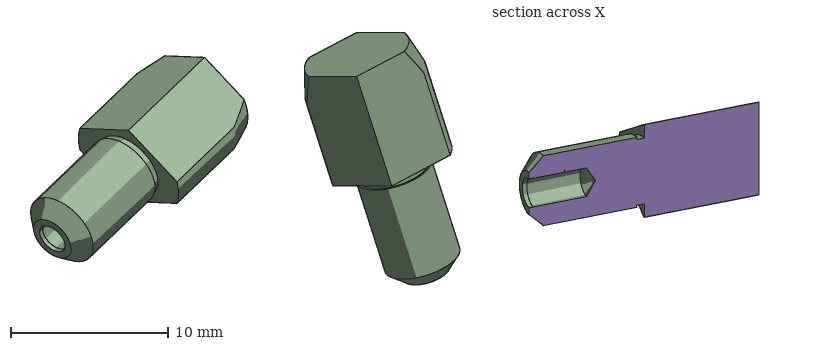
import cadquery as cq
import math

head_length = 8.0
head_height = 6.6
head_diameter = 8.0
side_land_height = 2.0
head_taper_length = 2.0
head_taper_angle = 15.0

shank_length = 8.0
shank_diameter = 5.0
neck_length = 0.5
neck_diameter = 4.7
tip_chamfer = 1.0

bore_diameter = 2.0
bore_depth = 4.0
bore_point_angle = 118.0
mouth_diameter = 2.02
mouth_depth = 0.3


def revolved(profile):
    """Revolve a closed (radius, y) profile about the Y axis."""
    return cq.Workplane("XY").polyline(profile).close().revolve(360, (0, 0, 0), (0, 1, 0))


def make_head():
    """Diamond prism from y = 0 to y = head_length, trimmed by a turned envelope."""
    half_height = head_height / 2
    radius = head_diameter / 2
    half_land = side_land_height / 2
    land_corner_x = math.sqrt(radius**2 - half_land**2)
    half_width = land_corner_x * half_height / (half_height - half_land)
    diamond = (
        cq.Workplane("XZ")
        .polyline([(0, half_height), (half_width, 0), (0, -half_height), (-half_width, 0)])
        .close()
        .extrude(-head_length)
    )
    end_radius = radius - head_taper_length * math.tan(math.radians(head_taper_angle))
    envelope = revolved([
        (0, 0),
        (radius, 0),
        (radius, head_length - head_taper_length),
        (end_radius, head_length),
        (0, head_length),
    ])
    return diamond.intersect(envelope)


def make_shank():
    """Round shank along -Y with a relieved neck at the head and a chamfered tip."""
    radius = shank_diameter / 2
    neck_radius = neck_diameter / 2
    return revolved([
        (0, 0),
        (neck_radius, 0),
        (neck_radius, -neck_length),
        (radius, -neck_length),
        (radius, tip_chamfer - shank_length),
        (radius - tip_chamfer, -shank_length),
        (0, -shank_length),
    ])


def make_bore():
    """Drilled hole with a conical bottom and a relieved mouth, entering at the shank tip."""
    radius = bore_diameter / 2
    mouth_radius = mouth_diameter / 2
    mouth_bottom = mouth_depth - shank_length
    point_depth = radius / math.tan(math.radians(bore_point_angle / 2))
    bore_bottom = bore_depth - shank_length
    return revolved([
        (0, -shank_length),
        (mouth_radius, -shank_length),
        (mouth_radius, mouth_bottom),
        (radius, mouth_bottom),
        (radius, bore_bottom),
        (0, bore_bottom + point_depth),
    ])


result = make_head().union(make_shank()).cut(make_bore())